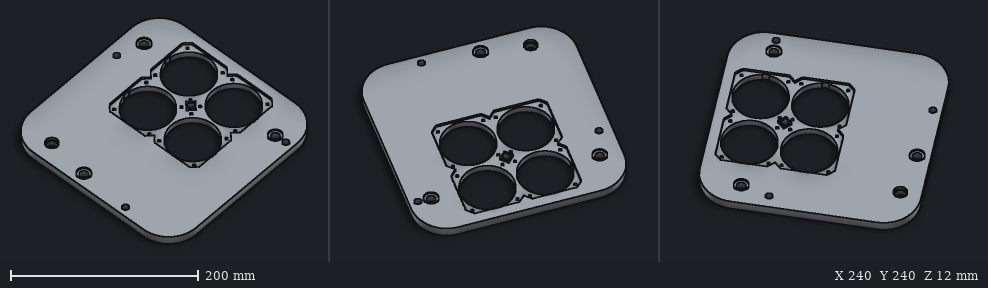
import cadquery as cq
plate_side = 240.0
plate_thickness = 12.0
plate_corner_radius = 40.0

fan_pitch = 65.0
fan_seat_side = fan_pitch
fan_seat_corner_diameter = 82.0
fan_seat_depth = 3.0
fan_bore_diameter = 61.0
fan_notch_width = 8.0
fan_notch_depth = 1.0
fan_screw_spacing = 50.9
fan_screw_diameter = 3.0
fan_array_center = (0.0, 42.5)
center_hole_diameter = 8.5

mount_positions = [(-95.0, 72.2), (95.0, 72.2), (-20.0, -105.0)]
mount_hole_diameter = 10.2
mount_counterbore_diameter = 16.5
mount_counterbore_depth = 2.0

port_position = (-73.8, -96.8)
port_hole_diameter = 12.2
port_counterbore_diameter = 15.0
port_counterbore_depth = 4.0

plain_positions = [(110.0, 72.5), (-105.0, 40.0), (45.0, -110.0)]
plain_hole_diameter = 8.0


def make_plate():
    plate = cq.Workplane("XY").rect(plate_side, plate_side).extrude(plate_thickness)
    return plate.edges("|Z").fillet(plate_corner_radius)


def top_plane(part, center=(0.0, 0.0)):
    """Workplane on the top face with its origin at the given X, Y point."""
    return part.faces(">Z").workplane(origin=(center[0], center[1], plate_thickness))


def cut_fan_notch(part, center, x_side):
    """Shallow flat-bottomed relief through the plate, in the bore wall facing the array's outer X side."""
    reach = fan_bore_diameter / 2 + fan_notch_depth
    notch_center = (center[0] + x_side * reach / 2, center[1])
    return top_plane(part, notch_center).rect(reach, fan_notch_width).cutThruAll()


def cut_fan_seat(part, center):
    """Square recess, its corners rounded off by a concentric disc, with a round bore and four screw holes."""
    floor = plate_thickness - fan_seat_depth
    seat_plane = cq.Workplane("XY", origin=(center[0], center[1], floor))
    square = seat_plane.rect(fan_seat_side, fan_seat_side).extrude(fan_seat_depth)
    disc = seat_plane.circle(fan_seat_corner_diameter / 2).extrude(fan_seat_depth)
    recess = square.intersect(disc)
    part = part.cut(recess)
    part = top_plane(part, center).circle(fan_bore_diameter / 2).cutThruAll()
    screws = top_plane(part, center).rect(fan_screw_spacing, fan_screw_spacing, forConstruction=True)
    return screws.vertices().circle(fan_screw_diameter / 2).cutThruAll()


def cut_fan_array(part):
    """Four adjoining seats; their rounded corners leave a full-height diamond post in the middle."""
    for x_side in (-1, 1):
        for y_side in (-1, 1):
            seat_x = fan_array_center[0] + x_side * fan_pitch / 2
            seat_y = fan_array_center[1] + y_side * fan_pitch / 2
            part = cut_fan_seat(part, (seat_x, seat_y))
            part = cut_fan_notch(part, (seat_x, seat_y), x_side)
    return top_plane(part, fan_array_center).circle(center_hole_diameter / 2).cutThruAll()


def cut_stepped_holes(part, positions, hole, counterbore, depth):
    return top_plane(part).pushPoints(positions).cboreHole(hole, counterbore, depth)


def cut_plain_holes(part):
    return top_plane(part).pushPoints(plain_positions).hole(plain_hole_diameter)


result = make_plate()
result = cut_fan_array(result)
result = cut_stepped_holes(
    result,
    mount_positions,
    mount_hole_diameter,
    mount_counterbore_diameter,
    mount_counterbore_depth,
)
result = cut_stepped_holes(
    result,
    [port_position],
    port_hole_diameter,
    port_counterbore_diameter,
    port_counterbore_depth,
)
result = cut_plain_holes(result)